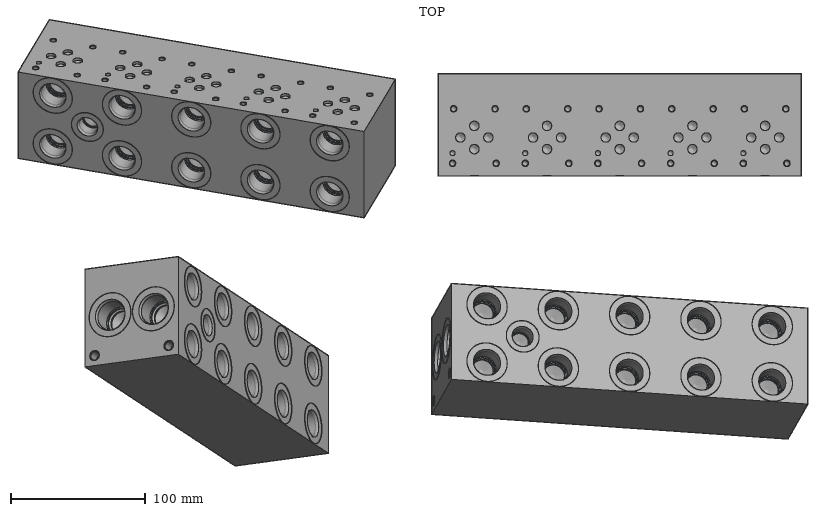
import cadquery as cq
import math

length = 270.0
side = 76.1

station_count = 5
station_pitch = 54.0
first_station_x = 27.0
station_xs = [first_station_x + i * station_pitch for i in range(station_count)]

spotface_depth = 0.4
seat_depth = 2.5
work_port = {"spotface": 30.5, "seat": 20.5, "steps": [(19.2, 14.0), (17.5, 15.7), (16.0, 17.5)]}
gauge_port = {"spotface": 24.8, "seat": 16.0, "steps": [(14.3, 10.8), (13.2, 12.5)]}
supply_port = {"spotface": 34.0, "seat": 24.0, "steps": [(22.1, 18.4), (20.5, 20.2), (17.5, 22.7)]}
work_port_inset = 15.7
gauge_x = first_station_x + station_pitch / 2
supply_port_spacing = 35.5

end_hole_entry = 7.8
end_hole_bore = 6.5
end_hole_depth = 10.8
end_hole_inset = 7.8

back_bolt_y = 50.0
bolt_spacing_y = 40.5
back_bolt_spacing_x = 30.8
front_bolt_spacing_x = 32.5
bolt_entry = 4.9
bolt_bore = 4.0
bolt_depth = 9.5
pin_bore = 3.8
pin_depth = 4.0
pin_to_bolt_y = 7.5
gallery_to_back_bolt_y = 21.3
gallery_y = back_bolt_y - gallery_to_back_bolt_y
gallery_bore = 7.0
gallery_depth = 2.2
gallery_spacing_x = 20.8
gallery_spacing_y = 17.3

drill_point_angle = 118.0


def point_height(radius_drop):
    """Axial length of a drill-point cone over a given drop in radius."""
    return radius_drop / math.tan(math.radians(drill_point_angle / 2))


def bored(face, outline):
    """Round tool along the inward normal of a face, from (radius, depth) points, with a drill point."""
    last_radius, last_depth = outline[-1]
    tip_depth = last_depth + point_height(last_radius)
    points = [(0, 0)] + outline + [(0, tip_depth)]
    profile = cq.Workplane("XZ").polyline([(radius, -depth) for radius, depth in points]).close()
    return profile.revolve(360, (0, 0, 0), (0, 1, 0)).val().moved(face)


def drilled_hole(face, bore, depth, entry=None):
    """Drilled hole with an optional 45 degree entry chamfer."""
    radius = bore / 2
    outline = [(radius, 0), (radius, depth)]
    if entry:
        outline = [(entry / 2, 0), (radius, entry / 2 - radius), (radius, depth)]
    return bored(face, outline)


def on_front(x, z):
    return cq.Location(cq.Plane((x, 0, z), xDir=(1, 0, 0), normal=(0, -1, 0)))


def on_end(y, z):
    return cq.Location(cq.Plane((0, y, z), xDir=(0, -1, 0), normal=(-1, 0, 0)))


def on_top(x, y):
    return cq.Location(cq.Plane((x, y, side), xDir=(1, 0, 0), normal=(0, 0, 1)))


def port(face, size):
    """Port with a shallow spotface, a tapered seat and drilled steps that narrow with depth."""
    spotface = size["spotface"] / 2
    seat = size["seat"] / 2
    outline = [(spotface, 0), (spotface, spotface_depth), (seat, spotface_depth)]
    wider = size["steps"][0][0] / 2
    shoulder_depth = spotface_depth + seat_depth
    for diameter, end_depth in size["steps"]:
        radius = diameter / 2
        outline += [(radius, shoulder_depth + point_height(wider - radius)), (radius, end_depth)]
        wider = radius
        shoulder_depth = end_depth
    return bored(face, outline)


def valve_interface(x):
    """Galleries, bolt holes and locating pin hole of one valve station."""
    galleries = [
        (x - gallery_spacing_x / 2, gallery_y),
        (x + gallery_spacing_x / 2, gallery_y),
        (x, gallery_y - gallery_spacing_y / 2),
        (x, gallery_y + gallery_spacing_y / 2),
    ]
    front_bolt_y = back_bolt_y - bolt_spacing_y
    bolts = []
    for direction in (-1, 1):
        bolts.append((x + direction * back_bolt_spacing_x / 2, back_bolt_y))
        bolts.append((x + direction * front_bolt_spacing_x / 2, front_bolt_y))
    pin = on_top(x - front_bolt_spacing_x / 2, front_bolt_y + pin_to_bolt_y)

    tools = [drilled_hole(on_top(*spot), gallery_bore, gallery_depth) for spot in galleries]
    tools += [drilled_hole(on_top(*spot), bolt_bore, bolt_depth, bolt_entry) for spot in bolts]
    tools.append(drilled_hole(pin, pin_bore, pin_depth))
    return tools


tools = []

for station_x in station_xs:
    for row_z in (work_port_inset, side - work_port_inset):
        tools.append(port(on_front(station_x, row_z), work_port))
    tools += valve_interface(station_x)

tools.append(port(on_front(gauge_x, side / 2), gauge_port))

for direction in (-1, 1):
    supply_y = side / 2 + direction * supply_port_spacing / 2
    tools.append(port(on_end(supply_y, side / 2), supply_port))
    end_hole_y = side / 2 + direction * (side / 2 - end_hole_inset)
    end_hole = on_end(end_hole_y, end_hole_inset)
    tools.append(drilled_hole(end_hole, end_hole_bore, end_hole_depth, end_hole_entry))

block = cq.Workplane("XY").box(length, side, side, centered=False)
result = cq.Workplane(block.val().cut(*tools).Solids()[0])